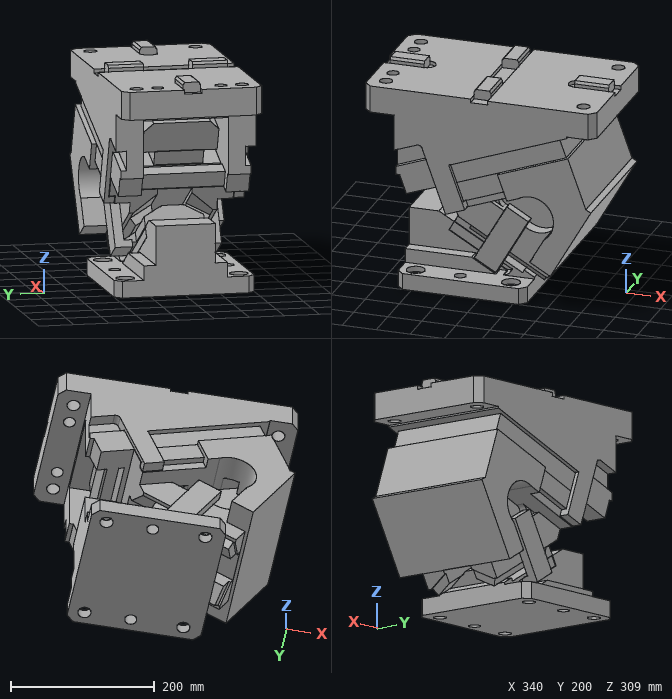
import cadquery as cq
import math


SLIDE_ANGLE = 20
RAMP_ANGLE = 30
X_DIR = 0
Z_DIR = 90
U_DIR = SLIDE_ANGLE
V_DIR = SLIDE_ANGLE + 90
S_DIR = -RAMP_ANGLE
N_DIR = 90 - RAMP_ANGLE

UNIT_WIDTH = 200.0
HALF_WIDTH = UNIT_WIDTH / 2
UNIT_HEIGHT = 309.0
SLIP = 1.0
CORNER_CHAMFER = 10.0

SLIDE_FACE_V = 112.4
LEG_LEFT_U = 155.0
LEG_RIGHT_U = 185.0
SLOT_CEILING_V = 72.0
LEG_BOTTOM_V = SLOT_CEILING_V + SLIP
LIP_TOP_V = 84.0
RAIL_HALF = 93.0
WEB_HALF = 84.4
HEAD_FOOT_N = 132.5
ROOF_HALF = 54.0
ROOF_HALF_N = 140.5
ROOF_SLOPE = math.tan(math.radians(RAMP_ANGLE))

PLATE_LENGTH = 340.0
PLATE_TOP = 300.0
PLATE_LEFT_BOTTOM = 260.5
PLATE_RIGHT_BOTTOM = 261.5
RIGHT_STEP_X = 298.4
BODY_LEFT_X = 45.0
UNDERSIDE_V = 141.4
RECESS_TOP_V = 180.0
RECESS_BOTTOM_V = 154.5
RECESS_HALF = 85.0
RECESS_RADIUS = 6.0
FOOT_LEFT_U = 105.5
FOOT_RIGHT_U = 355.5
FOOT_STEP_Z = 169.0
POCKET_HALF = 60.4
POCKET_CEILING_Z = 250.0
POCKET_FLOOR_V = 135.0
POCKET_END_U = 334.0
BAR_START_U = 118.5
BAR_END_U = 138.5
FLOOR_START_U = 147.0
BAR_TOP_V = 138.0
BAR_CHAMFER = 2.5
STEM_HALF = 35.0
STEM_START_U = 149.4
BLOCK_HALF = 53.5
BLOCK_START_U = 148.0
BLOCK_BOTTOM_V = 156.8
BLOCK_TOP_V = 202.6
BLOCK_CHAMFER = 13.0

KEY_WIDTH = 25.0
KEY_LENGTH = 50.0
KEYWAY_DEPTH = 5.5
KEY_BEVEL_IN = 2.4
KEY_BEVEL_DOWN = 4.0
KEY_END_GAP = 9.5
CROSS_KEY_Y = 60.0
SCREW_DIAMETER = 18.0
SCREW_INSET = 25.0
SCREW_Y = 75.0
DOWEL_DIAMETER = 16.5
DOWEL_Y = 45.0

CORE_HALF = 62.5
CORE_BOTTOM_N = 154.0
CORE_END_S = 208.5
SLIDER_RIGHT_U = 360.5
HEEL_TOP_N = 298.6
HEEL_S = 213.5
WING_LEFT_U = 250.5
WING_BOTTOM_N = 179.4
SLOT_WALL_S = 178.6
SLOT_RADIUS = 33.0
CLEARANCE_RADIUS = 34.3
CLEARANCE_S = 147.2
CLEARANCE_N = 235.0
SIDE_POCKET_FLOOR_N = 202.6
SIDE_POCKET_DEPTH = 20.0
SIDE_POCKET_TIP_DEPTH = 8.0
SIDE_POCKET_TIP_RADIUS = 12.0
VEE_HALF = 57.0
NOTCH_HALF = 24.7
NOTCH_TOP_N = 178.6
LINER_START_S = 78.5
LINER_END_S = 205.5
STRAP_START_S = 108.0
STRAP_END_S = 144.6
STRAP_BOTTOM_N = 122.0
STRAP_TOP_N = 217.5
STRAP_OUTER = 76.0
TONGUE_INNER = 51.0

BASE_LEFT_X = 47.6
BASE_LENGTH = 190.0
BASE_HEIGHT = 24.0
STEP_HALF = 59.7
STEP_TOP_Z = 44.6
STEP_RAMP_N = 111.3
UPRIGHT_HALF = 42.4
UPRIGHT_TOP_Z = 100.2
TAIL_TOP_N = 142.0
HEAD_START_S = 55.0
WIDE_HEAD_START_S = 119.0
HEAD_END_S = 175.0
HEAD_FLAT_HALF = 15.8
GROOVE_BOTTOM_N = 117.0
GROOVE_END_S = 160.0
GROOVE_RADIUS = 10.0
NECK_HALF = 41.0
BASE_HOLE_Y = 81.0
COUNTERBORE_X = (70.5, 210.5)
COUNTERBORE_DIAMETER = 26.0
COUNTERBORE_DEPTH = 8.0
BASE_SCREW_DIAMETER = 18.0
BASE_DOWEL_X = 136.0
BASE_DOWEL_DIAMETER = 16.5


def meet(dir_a, offset_a, dir_b, offset_b):
    """XZ point lying at offset_a along direction a and at offset_b along direction b."""
    a = math.radians(dir_a)
    b = math.radians(dir_b)
    spread = math.sin(b - a)
    x = (offset_a * math.sin(b) - offset_b * math.sin(a)) / spread
    z = (offset_b * math.cos(a) - offset_a * math.cos(b)) / spread
    return x, z


def uv(u, v):
    return meet(U_DIR, u, V_DIR, v)


def sn(s, n):
    return meet(S_DIR, s, N_DIR, n)


def slab(points, half):
    """XZ outline extruded to both sides of the symmetry plane."""
    return cq.Workplane("XZ").polyline(points).close().extrude(half, both=True)


def side_slabs(points, inner, outer):
    """XZ outline extruded between two Y distances, on both sides."""
    near = cq.Workplane("XZ", origin=(0, -inner, 0)).polyline(points).close().extrude(outer - inner)
    return near.union(near.mirror("XZ"))


def prism(direction, start, end, points):
    """(Y, height) outline extruded along an XZ direction, from start to end."""
    c = math.cos(math.radians(direction))
    s = math.sin(math.radians(direction))
    plane = cq.Plane(origin=(start * c, 0, start * s), xDir=(0, 1, 0), normal=(c, 0, s))
    return cq.Workplane(plane).polyline(points).close().extrude(end - start)


def mirrored(right_half):
    """Completes a symmetric (Y, height) outline from its +Y half."""
    return right_half + [(-y, h) for y, h in reversed(right_half)]


def near_edge(point):
    """Selector for the Y-parallel edges through one XZ point."""
    x, z = point
    reach = 0.5
    return cq.selectors.BoxSelector(
        (x - reach, -UNIT_WIDTH, z - reach), (x + reach, UNIT_WIDTH, z + reach))


def roof_n(y):
    """Height of the driver roof slope at a distance y from the symmetry plane."""
    return ROOF_HALF_N + (ROOF_HALF - y) * ROOF_SLOPE


def vee_n(y):
    """Height of the slider vee slope at a distance y from the symmetry plane."""
    return CORE_BOTTOM_N + (VEE_HALF - y) * ROOF_SLOPE


def holder_outline():
    recess_corner = uv(LEG_LEFT_U, RECESS_TOP_V)
    body = slab([
        (0, PLATE_TOP),
        (PLATE_LENGTH, PLATE_TOP),
        (PLATE_LENGTH, PLATE_RIGHT_BOTTOM),
        (RIGHT_STEP_X, PLATE_RIGHT_BOTTOM),
        meet(X_DIR, RIGHT_STEP_X, V_DIR, UNDERSIDE_V),
        uv(LEG_RIGHT_U, UNDERSIDE_V),
        uv(LEG_RIGHT_U, LEG_BOTTOM_V),
        uv(LEG_LEFT_U, LEG_BOTTOM_V),
        recess_corner,
        meet(X_DIR, BODY_LEFT_X, V_DIR, RECESS_TOP_V),
        (BODY_LEFT_X, PLATE_LEFT_BOTTOM),
        (0, PLATE_LEFT_BOTTOM),
    ], HALF_WIDTH)
    body = body.edges("|Y").edges(near_edge(recess_corner)).fillet(RECESS_RADIUS)
    for end in ("<X", ">X"):
        body = body.faces(end).edges("|Z").chamfer(CORNER_CHAMFER)
    return body


def holder_foot():
    recess_core = slab([
        meet(X_DIR, BODY_LEFT_X, V_DIR, RECESS_TOP_V),
        uv(LEG_RIGHT_U, RECESS_TOP_V),
        uv(LEG_RIGHT_U, RECESS_BOTTOM_V),
        meet(X_DIR, BODY_LEFT_X, V_DIR, RECESS_BOTTOM_V),
    ], RECESS_HALF)
    foot = slab([
        meet(X_DIR, BODY_LEFT_X, V_DIR, RECESS_BOTTOM_V),
        uv(FOOT_RIGHT_U, RECESS_BOTTOM_V),
        uv(FOOT_RIGHT_U, SLIDE_FACE_V),
        uv(FOOT_LEFT_U, SLIDE_FACE_V),
        meet(U_DIR, FOOT_LEFT_U, Z_DIR, FOOT_STEP_Z),
        (BODY_LEFT_X, FOOT_STEP_Z),
    ], RAIL_HALF)
    return recess_core.union(foot)


def leg_channel():
    """Space between the two legs, above and between their lips."""
    channel = mirrored([
        (WEB_HALF + SLIP, LEG_BOTTOM_V),
        (WEB_HALF + SLIP, LIP_TOP_V - SLIP),
        (RAIL_HALF + SLIP, LIP_TOP_V - SLIP),
        (RAIL_HALF + SLIP, RECESS_BOTTOM_V),
    ])
    return prism(U_DIR, LEG_LEFT_U, LEG_RIGHT_U, channel)


def holder_pocket():
    """Opening in the left face, with a cross bar at its mouth and a T-shaped block inside."""
    outside_x = BODY_LEFT_X - SLIP
    pocket = slab([
        (outside_x, POCKET_CEILING_Z),
        meet(U_DIR, POCKET_END_U, Z_DIR, POCKET_CEILING_Z),
        uv(POCKET_END_U, POCKET_FLOOR_V),
        uv(FLOOR_START_U, POCKET_FLOOR_V),
        uv(FLOOR_START_U, SLIDE_FACE_V),
        uv(BAR_END_U, SLIDE_FACE_V),
        uv(BAR_END_U, BAR_TOP_V),
        uv(BAR_START_U, BAR_TOP_V),
        uv(BAR_START_U, SLIDE_FACE_V + BAR_CHAMFER),
        uv(BAR_START_U + BAR_CHAMFER, SLIDE_FACE_V),
        meet(X_DIR, outside_x, V_DIR, SLIDE_FACE_V),
    ], POCKET_HALF)
    stem = prism(U_DIR, STEM_START_U, POCKET_END_U, mirrored([
        (STEM_HALF, POCKET_FLOOR_V),
        (STEM_HALF, BLOCK_BOTTOM_V),
    ]))
    block = prism(U_DIR, BLOCK_START_U, POCKET_END_U, mirrored([
        (BLOCK_HALF, BLOCK_BOTTOM_V),
        (BLOCK_HALF, BLOCK_TOP_V - BLOCK_CHAMFER),
        (BLOCK_HALF - BLOCK_CHAMFER, BLOCK_TOP_V),
    ]))
    return pocket.cut(stem).cut(block)


def keyways():
    floor = PLATE_TOP - KEYWAY_DEPTH
    plane = cq.Workplane("XY", origin=(0, 0, floor))
    cuts = plane.center(PLATE_LENGTH / 2, 0).rect(KEY_WIDTH, UNIT_WIDTH).extrude(KEYWAY_DEPTH)
    reach = KEY_END_GAP + KEY_LENGTH
    for end_x in (0, PLATE_LENGTH):
        slot = plane.center(end_x, 0).slot2D(2 * reach + KEY_WIDTH, KEY_WIDTH)
        cuts = cuts.union(slot.extrude(KEYWAY_DEPTH))
    return cuts


def key():
    """Key along X, centred on the origin, with its two long top edges bevelled."""
    floor = PLATE_TOP - KEYWAY_DEPTH
    half = KEY_WIDTH / 2
    outline = mirrored([
        (half, floor),
        (half, UNIT_HEIGHT - KEY_BEVEL_DOWN),
        (half - KEY_BEVEL_IN, UNIT_HEIGHT),
    ])
    return prism(X_DIR, -KEY_LENGTH / 2, KEY_LENGTH / 2, outline)


def keys():
    middle = PLATE_LENGTH / 2
    end_offset = middle - KEY_END_GAP - KEY_LENGTH / 2
    cross_key = key().rotate((0, 0, 0), (0, 0, 1), 90)
    placed = cq.Workplane("XY")
    for side in (-1, 1):
        placed = placed.union(key().translate((middle + side * end_offset, 0, 0)))
        placed = placed.union(cross_key.translate((middle, side * CROSS_KEY_Y, 0)))
    return placed


def plate_holes():
    plane = cq.Workplane("XY", origin=(0, 0, PLATE_TOP))
    depth = -(PLATE_TOP - PLATE_LEFT_BOTTOM)
    screw_points = [
        (x, y) for x in (SCREW_INSET, PLATE_LENGTH - SCREW_INSET) for y in (-SCREW_Y, SCREW_Y)]
    dowel_points = [(SCREW_INSET, -DOWEL_Y), (SCREW_INSET, DOWEL_Y)]
    screws = plane.pushPoints(screw_points).circle(SCREW_DIAMETER / 2).extrude(depth)
    dowels = plane.pushPoints(dowel_points).circle(DOWEL_DIAMETER / 2).extrude(depth)
    return screws.union(dowels)


def make_holder():
    body = holder_outline().cut(leg_channel())
    body = body.union(holder_foot()).cut(holder_pocket())
    return body.cut(keyways()).union(keys()).cut(plate_holes())


def slider_core():
    return slab([
        uv(LEG_LEFT_U, SLIDE_FACE_V),
        uv(SLIDER_RIGHT_U, SLIDE_FACE_V),
        meet(U_DIR, SLIDER_RIGHT_U, N_DIR, HEEL_TOP_N),
        sn(HEEL_S, HEEL_TOP_N),
        sn(HEEL_S, WING_BOTTOM_N),
        sn(CORE_END_S, WING_BOTTOM_N),
        sn(CORE_END_S, CORE_BOTTOM_N),
        meet(U_DIR, LEG_LEFT_U, N_DIR, CORE_BOTTOM_N),
    ], CORE_HALF)


def slider_wings():
    slot_corner = meet(V_DIR, SLOT_CEILING_V, S_DIR, SLOT_WALL_S)
    wings = slab([
        uv(WING_LEFT_U, SLIDE_FACE_V),
        uv(SLIDER_RIGHT_U, SLIDE_FACE_V),
        meet(U_DIR, SLIDER_RIGHT_U, N_DIR, HEEL_TOP_N),
        sn(HEEL_S, HEEL_TOP_N),
        sn(HEEL_S, WING_BOTTOM_N),
        sn(SLOT_WALL_S, WING_BOTTOM_N),
        slot_corner,
        uv(WING_LEFT_U, SLOT_CEILING_V),
    ], HALF_WIDTH)
    return wings.edges("|Y").edges(near_edge(slot_corner)).fillet(SLOT_RADIUS)


def slider_rail():
    return prism(U_DIR, LEG_LEFT_U, WING_LEFT_U, mirrored([
        (WEB_HALF, SLOT_CEILING_V),
        (WEB_HALF, LIP_TOP_V),
        (RAIL_HALF, LIP_TOP_V),
        (RAIL_HALF, SLIDE_FACE_V),
    ]))


def side_pockets():
    """Recesses in the flanks of the core: a shallow wedge with a deeper round-tipped part."""
    tip = meet(V_DIR, SLOT_CEILING_V, N_DIR, SIDE_POCKET_FLOOR_N)
    wedge = [
        tip,
        meet(V_DIR, SLOT_CEILING_V, S_DIR, CLEARANCE_S),
        sn(CLEARANCE_S, SIDE_POCKET_FLOOR_N),
    ]
    shallow = side_slabs(wedge, CORE_HALF - SIDE_POCKET_TIP_DEPTH, CORE_HALF)
    deep = side_slabs(wedge, CORE_HALF - SIDE_POCKET_DEPTH, CORE_HALF)
    deep = deep.edges("|Y").edges(near_edge(tip)).fillet(SIDE_POCKET_TIP_RADIUS)
    return deep.union(shallow)


def side_bores():
    """Round clearance at the right end of each side slot and side pocket."""
    inner = CORE_HALF - SIDE_POCKET_DEPTH
    bore = (
        cq.Workplane("XZ", origin=(0, -inner, 0))
        .center(*sn(CLEARANCE_S, CLEARANCE_N))
        .circle(CLEARANCE_RADIUS)
        .extrude(HALF_WIDTH - inner)
    )
    return bore.union(bore.mirror("XZ"))


def slider_vee():
    return prism(S_DIR, 0, HEEL_S, mirrored([
        (VEE_HALF, GROOVE_BOTTOM_N),
        (VEE_HALF, CORE_BOTTOM_N),
        (NOTCH_HALF, vee_n(NOTCH_HALF)),
        (NOTCH_HALF, NOTCH_TOP_N),
    ]))


def vee_liners():
    """Wear plates lining the vee down to the roof of the driver head."""
    thickness = (vee_n(0) - roof_n(0)) * math.cos(math.radians(RAMP_ANGLE))
    foot_y = VEE_HALF - thickness * math.sin(math.radians(RAMP_ANGLE))
    liner = prism(S_DIR, LINER_START_S, LINER_END_S, [
        (VEE_HALF, CORE_BOTTOM_N),
        (NOTCH_HALF, vee_n(NOTCH_HALF)),
        (NOTCH_HALF, roof_n(NOTCH_HALF)),
        (foot_y, roof_n(foot_y)),
    ])
    return liner.union(liner.mirror("XZ"))


def straps():
    """L-shaped straps whose tongues reach under the driver head."""
    strap = prism(S_DIR, STRAP_START_S, STRAP_END_S, [
        (CORE_HALF, HEAD_FOOT_N),
        (TONGUE_INNER, HEAD_FOOT_N),
        (TONGUE_INNER, STRAP_BOTTOM_N),
        (STRAP_OUTER, STRAP_BOTTOM_N),
        (STRAP_OUTER, STRAP_TOP_N),
        (CORE_HALF, STRAP_TOP_N),
    ])
    return strap.union(strap.mirror("XZ"))


def make_slider():
    body = slider_core().union(slider_wings()).union(slider_rail())
    body = body.cut(side_pockets()).cut(side_bores()).cut(slider_vee())
    return body.union(vee_liners()).union(straps())


def driver_base():
    plate = (
        cq.Workplane("XY", origin=(BASE_LEFT_X + BASE_LENGTH / 2, 0, 0))
        .rect(BASE_LENGTH, UNIT_WIDTH)
        .extrude(BASE_HEIGHT)
        .edges("|Z")
        .chamfer(CORNER_CHAMFER)
    )
    plane = cq.Workplane("XY", origin=(0, 0, BASE_HEIGHT))
    for y in (-BASE_HOLE_Y, BASE_HOLE_Y):
        bolts = plane.pushPoints([(x, y) for x in COUNTERBORE_X])
        plate = plate.cut(bolts.circle(COUNTERBORE_DIAMETER / 2).extrude(-COUNTERBORE_DEPTH))
        plate = plate.cut(bolts.circle(BASE_SCREW_DIAMETER / 2).extrude(-BASE_HEIGHT))
        dowel = plane.center(BASE_DOWEL_X, y).circle(BASE_DOWEL_DIAMETER / 2)
        plate = plate.cut(dowel.extrude(-BASE_HEIGHT))
    return plate


def driver_upright():
    right_x = BASE_LEFT_X + BASE_LENGTH
    step_toe = meet(Z_DIR, BASE_HEIGHT, N_DIR, STEP_RAMP_N)
    step = slab([
        (BASE_LEFT_X, 0),
        (BASE_LEFT_X, STEP_TOP_Z),
        meet(Z_DIR, STEP_TOP_Z, N_DIR, STEP_RAMP_N),
        step_toe,
        (step_toe[0], 0),
    ], STEP_HALF)
    upright = slab([
        (BASE_LEFT_X, 0),
        (BASE_LEFT_X, UPRIGHT_TOP_Z),
        meet(Z_DIR, UPRIGHT_TOP_Z, N_DIR, HEAD_FOOT_N),
        meet(X_DIR, right_x, N_DIR, HEAD_FOOT_N),
        (right_x, 0),
    ], UPRIGHT_HALF)
    tail_left_x = meet(Z_DIR, BASE_HEIGHT, N_DIR, GROOVE_BOTTOM_N)[0]
    tail = slab([
        (tail_left_x, 0),
        meet(X_DIR, tail_left_x, N_DIR, HEAD_FOOT_N),
        sn(HEAD_END_S, HEAD_FOOT_N),
        sn(HEAD_END_S, TAIL_TOP_N),
        meet(X_DIR, right_x, N_DIR, TAIL_TOP_N),
        (right_x, 0),
    ], STEP_HALF)
    return step.union(upright).union(tail)


def roofed_head(start_s, half):
    """Length of head with a flat ridge and two sloping roof faces."""
    return prism(S_DIR, start_s, HEAD_END_S, mirrored([
        (half, HEAD_FOOT_N),
        (half, roof_n(half)),
        (HEAD_FLAT_HALF, roof_n(HEAD_FLAT_HALF)),
    ]))


def driver_grooves():
    """Grooves under the head that take the tongues of the slider straps."""
    end = sn(GROOVE_END_S, GROOVE_BOTTOM_N)
    grooves = side_slabs([
        sn(HEAD_START_S, HEAD_FOOT_N),
        sn(GROOVE_END_S, HEAD_FOOT_N),
        end,
        sn(HEAD_START_S, GROOVE_BOTTOM_N),
    ], NECK_HALF, STEP_HALF)
    return grooves.edges("|Y").edges(near_edge(end)).fillet(GROOVE_RADIUS)


def make_driver():
    narrow_head = roofed_head(HEAD_START_S, UPRIGHT_HALF)
    wide_head = roofed_head(WIDE_HEAD_START_S, STEP_HALF)
    body = driver_base().union(driver_upright()).cut(driver_grooves())
    return body.union(narrow_head).union(wide_head)


holder = make_holder()
slider = make_slider()
driver = make_driver()

result = cq.Compound.makeCompound([
    holder.solids().val(),
    slider.solids().val(),
    driver.solids().val(),
])